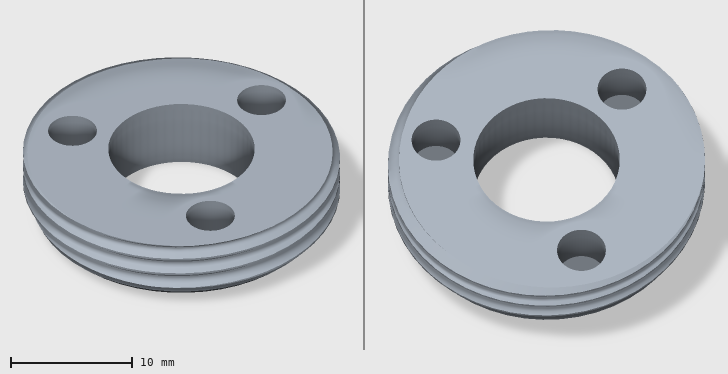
import cadquery as cq
import math

outer_diameter = 26.0
root_diameter = 24.2
bore_diameter = 12.0
height = 6.0
bottom_chamfer = 0.6

pitch = 1.5
crest_width = pitch / 8
flank_angle = 30.0
thread_bottom = 1.65
crest_height_at_x = 1.77
root_overlap = 0.1
thread_turns = 5

pin_hole_diameter = 4.0
pin_hole_depth = 4.0
pin_circle_radius = 9.25
pin_hole_count = 3
first_pin_angle = 90.0


def make_core():
    """Plain cylinder at the thread root, chamfered at the bottom."""
    core = cq.Workplane("XY").circle(root_diameter / 2).extrude(height)
    return core.faces("<Z").edges().chamfer(bottom_chamfer)


def make_thread():
    """Helical ridge, trimmed flat at its lower end and at the top face."""
    crest_radius = outer_diameter / 2
    base_radius = root_diameter / 2 - root_overlap
    flank_rise = (crest_radius - base_radius) * math.tan(math.radians(flank_angle))
    half_crest = crest_width / 2
    half_base = half_crest + flank_rise

    start = crest_height_at_x - pitch
    path = cq.Wire.makeHelix(pitch, thread_turns * pitch, base_radius, cq.Vector(0, 0, start))
    ridge = (
        cq.Workplane("XZ")
        .polyline([
            (base_radius, start - half_base),
            (crest_radius, start - half_crest),
            (crest_radius, start + half_crest),
            (base_radius, start + half_base),
        ])
        .close()
        .sweep(cq.Workplane(path), isFrenet=True)
    )
    band = (
        cq.Workplane("XY")
        .workplane(offset=thread_bottom)
        .circle(outer_diameter)
        .extrude(height - thread_bottom)
    )
    return ridge.intersect(band)


def make_bore():
    return cq.Workplane("XY").circle(bore_diameter / 2).extrude(height)


def make_pin_holes():
    return (
        cq.Workplane("XY")
        .workplane(offset=height - pin_hole_depth)
        .polarArray(pin_circle_radius, first_pin_angle, 360, pin_hole_count)
        .circle(pin_hole_diameter / 2)
        .extrude(pin_hole_depth)
    )


result = make_core().union(make_thread()).cut(make_bore()).cut(make_pin_holes())